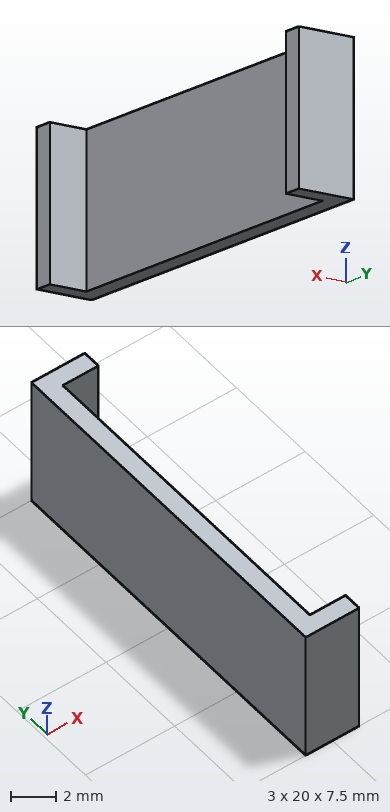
import cadquery as cq

depth = 3.0
length = 20.0
height = 7.5

wall = 1.0

block = cq.Workplane("XY").box(depth, length, height, centered=(False, True, False))

recess = (
    cq.Workplane("XY")
    .box(depth - wall, length - 2 * wall, height, centered=(False, True, False))
    .translate((wall, 0, 0))
)

result = block.cut(recess)